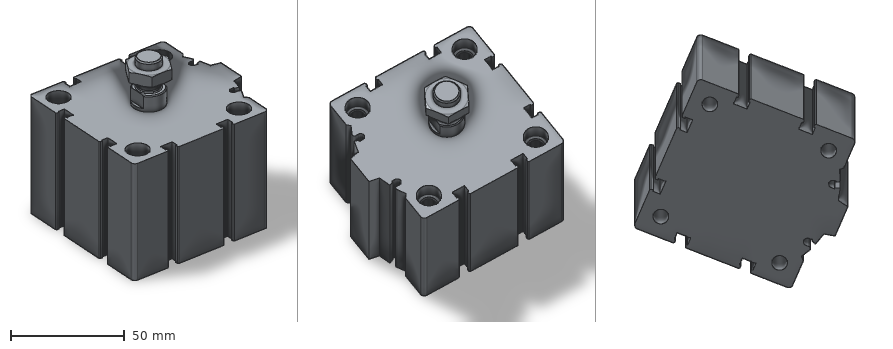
import cadquery as cq
import math

HOUSING_SIDE = 75.0
HOUSING_LENGTH_Y = 83.5
HOUSING_HEIGHT = 60.0
HALF_SIDE = HOUSING_SIDE / 2
CORNER_RADIUS = 2.0

SLOT_SPACING = 31.0
SLOT_MOUTH_WIDTH = 5.0
SLOT_INNER_WIDTH = 6.4
SLOT_LIP_DEPTH = 1.7
SLOT_DEPTH = 5.0
LIP_CHAMFER = 0.5

NOTCH_OUTER_X = 23.4
NOTCH_BOTTOM = (21.8, 35.95)
HORN_TIP = (17.7, 38.1)
HORN_TIP_DROP = 1.2
GROOVE_X = 14.5
GROOVE_WIDTH = 3.45
GROOVE_CENTER_Y = 35.8
GROOVE_STEP_Y = 37.4
HOOK_STEP_X = 13.35
HOOK_TIP = (14.1, 39.5)
RIDGE_FOOT = (8.4, 41.1)
RIDGE_TOP_HALF_WIDTH = 7.4
RIDGE_TOP_Y = HOUSING_LENGTH_Y - HALF_SIDE

HOLE_OFFSET = 28.2
HOLE_DIAMETER = 6.8
COUNTERSINK_DIAMETER = 8.0
COUNTERBORE_DIAMETER = 11.0
COUNTERBORE_DEPTH = 7.0

ROD_TOP = 84.0
ROD_DIAMETER = 16.0
SHOULDER_HEIGHT = 8.3
SHOULDER_CHAMFER = 0.5
FLAT_DISTANCE = 13.0
FLAT_BOTTOM = 1.6
NECK_DIAMETER = 10.2
NECK_WAIST_HEIGHT = 1.0
NECK_FLARE_DIAMETER = 10.7
NECK_FLARE_HEIGHT = 0.3
NECK_HEIGHT = 3.3
THREAD_DIAMETER = 12.0
THREAD_CHAMFER = 0.7

HEX_SIDES = 6
NUT_FLATS = 19.0
NUT_HEIGHT = 6.0
NUT_TOP = 80.0
NUT_CHAMFER_ANGLE = 15


def back_block():
    """Right half of the raised back, mirrored about the YZ plane."""
    groove_radius = GROOVE_WIDTH / 2
    groove_right = GROOVE_X + groove_radius
    groove_left = GROOVE_X - groove_radius
    half = (
        cq.Workplane("XY")
        .moveTo(0, 0)
        .lineTo(NOTCH_OUTER_X, 0)
        .lineTo(NOTCH_OUTER_X, HALF_SIDE)
        .lineTo(*NOTCH_BOTTOM)
        .lineTo(*HORN_TIP)
        .tangentArcPoint((groove_right, HORN_TIP[1] - HORN_TIP_DROP), relative=False)
        .lineTo(groove_right, GROOVE_CENTER_Y)
        .threePointArc((GROOVE_X, GROOVE_CENTER_Y - groove_radius), (groove_left, GROOVE_CENTER_Y))
        .lineTo(groove_left, GROOVE_STEP_Y)
        .lineTo(HOOK_STEP_X, GROOVE_STEP_Y)
        .lineTo(*HOOK_TIP)
        .lineTo(*RIDGE_FOOT)
        .lineTo(RIDGE_TOP_HALF_WIDTH, RIDGE_TOP_Y)
        .lineTo(0, RIDGE_TOP_Y)
        .close()
        .extrude(HOUSING_HEIGHT)
    )
    return half.union(half.mirror("YZ"))


def main_block():
    """Square block, open where the raised back replaces its +Y side."""
    block = (
        cq.Workplane("XY")
        .rect(HOUSING_SIDE, HOUSING_SIDE)
        .extrude(HOUSING_HEIGHT)
        .edges("|Z")
        .fillet(CORNER_RADIUS)
    )
    opening = (
        cq.Workplane("XY")
        .center(0, HALF_SIDE / 2)
        .rect(2 * NOTCH_OUTER_X, HALF_SIDE)
        .extrude(HOUSING_HEIGHT)
    )
    return block.cut(opening)


def t_slot(offset, side_angle):
    """Cutter for a T-slot in the -Y side, turned about Z to another side."""
    mouth_half = SLOT_MOUTH_WIDTH / 2
    inner_half = SLOT_INNER_WIDTH / 2
    lip_y = SLOT_LIP_DEPTH - HALF_SIDE
    floor_y = SLOT_DEPTH - HALF_SIDE
    profile = [
        (mouth_half + LIP_CHAMFER, -HALF_SIDE),
        (mouth_half, LIP_CHAMFER - HALF_SIDE),
        (mouth_half, lip_y),
        (inner_half, lip_y),
        (inner_half, floor_y),
    ]
    mirrored = [(-x, y) for x, y in reversed(profile)]
    cutter = cq.Workplane("XY").polyline(profile + mirrored).close().extrude(HOUSING_HEIGHT)
    return cutter.translate((offset, 0, 0)).rotate((0, 0, 0), (0, 0, 1), side_angle)


def mounting_hole_cutter():
    """Through hole with a counterbore and a countersunk edge, along Z."""
    floor_z = HOUSING_HEIGHT - COUNTERBORE_DEPTH
    hole_radius = HOLE_DIAMETER / 2
    sink_radius = COUNTERSINK_DIAMETER / 2
    bore_radius = COUNTERBORE_DIAMETER / 2
    return (
        cq.Workplane("XZ")
        .polyline([
            (0, 0),
            (hole_radius, 0),
            (hole_radius, floor_z - (sink_radius - hole_radius)),
            (sink_radius, floor_z),
            (bore_radius, floor_z),
            (bore_radius, HOUSING_HEIGHT),
            (0, HOUSING_HEIGHT),
        ])
        .close()
        .revolve(360, (0, 0), (0, 1))
    )


def make_housing():
    body = main_block().union(back_block())
    for side_angle in (-90, 0, 90):
        for offset in (-SLOT_SPACING / 2, SLOT_SPACING / 2):
            body = body.cut(t_slot(offset, side_angle))
    for x in (-HOLE_OFFSET, HOLE_OFFSET):
        for y in (-HOLE_OFFSET, HOLE_OFFSET):
            body = body.cut(mounting_hole_cutter().translate((x, y, 0)))
    return body


def make_rod():
    """Rod with two wrench flats, a filleted conical neck and a plain thread cylinder."""
    shoulder_z = HOUSING_HEIGHT + SHOULDER_HEIGHT
    rod_radius = ROD_DIAMETER / 2
    neck_radius = NECK_DIAMETER / 2
    flare_radius = NECK_FLARE_DIAMETER / 2
    thread_radius = THREAD_DIAMETER / 2
    flare_z = shoulder_z + NECK_FLARE_HEIGHT
    waist_z = shoulder_z + NECK_WAIST_HEIGHT
    flare_middle = (neck_radius + (flare_radius - neck_radius) / 4, (flare_z + waist_z) / 2)
    rod = (
        cq.Workplane("XZ")
        .moveTo(0, HOUSING_HEIGHT)
        .lineTo(rod_radius, HOUSING_HEIGHT)
        .lineTo(rod_radius, shoulder_z - SHOULDER_CHAMFER)
        .lineTo(rod_radius - SHOULDER_CHAMFER, shoulder_z)
        .lineTo(thread_radius, shoulder_z)
        .lineTo(flare_radius, flare_z)
        .threePointArc(flare_middle, (neck_radius, waist_z))
        .lineTo(thread_radius, shoulder_z + NECK_HEIGHT)
        .lineTo(thread_radius, ROD_TOP - THREAD_CHAMFER)
        .lineTo(thread_radius - THREAD_CHAMFER, ROD_TOP)
        .lineTo(0, ROD_TOP)
        .close()
        .revolve(360, (0, 0), (0, 1))
    )
    flat_height = SHOULDER_HEIGHT - FLAT_BOTTOM
    flat_depth = (ROD_DIAMETER - FLAT_DISTANCE) / 2
    for side in (-1, 1):
        flat_cutter = cq.Workplane("XY").box(ROD_DIAMETER, flat_depth, flat_height)
        y = side * (FLAT_DISTANCE + flat_depth) / 2
        rod = rod.cut(flat_cutter.translate((0, y, shoulder_z - flat_height / 2)))
    return rod


def make_nut():
    """Hexagon nut with flats facing X, chamfered at both ends."""
    bottom = NUT_TOP - NUT_HEIGHT
    face_radius = NUT_FLATS / 2
    corner_radius = face_radius / math.cos(math.pi / HEX_SIDES)
    drop = (corner_radius - face_radius) * math.tan(math.radians(NUT_CHAMFER_ANGLE))
    hexagon = (
        cq.Workplane("XY", origin=(0, 0, bottom))
        .polygon(HEX_SIDES, 2 * corner_radius)
        .extrude(NUT_HEIGHT)
        .rotate((0, 0, 0), (0, 0, 1), 180 / HEX_SIDES)
    )
    chamfer_envelope = (
        cq.Workplane("XZ")
        .polyline([
            (0, bottom),
            (face_radius, bottom),
            (corner_radius, bottom + drop),
            (corner_radius, NUT_TOP - drop),
            (face_radius, NUT_TOP),
            (0, NUT_TOP),
        ])
        .close()
        .revolve(360, (0, 0), (0, 1))
    )
    bore = (
        cq.Workplane("XY", origin=(0, 0, bottom))
        .circle(THREAD_DIAMETER / 2)
        .extrude(NUT_HEIGHT)
    )
    return hexagon.intersect(chamfer_envelope).cut(bore)


housing = make_housing()
rod = make_rod()
nut = make_nut()
result = cq.Compound.makeCompound([housing.val(), rod.val(), nut.val()])